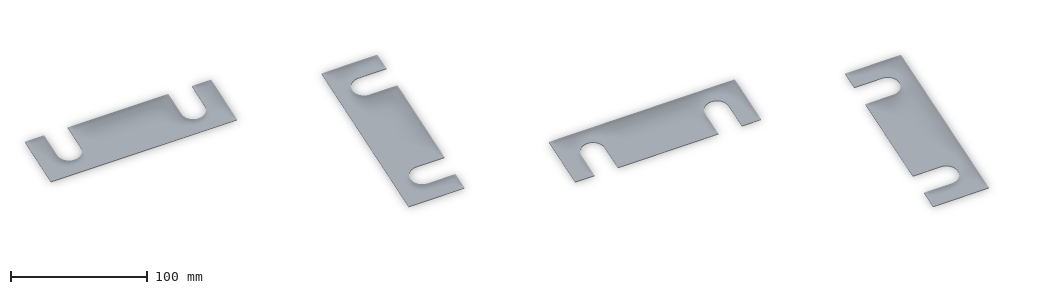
import cadquery as cq

length = 150.0
width = 45.0
thickness = 1.0

slot_width = 19.0
slot_spacing = 100.0
slot_center_depth = width / 2


def open_slot(center_y):
    """Cutter for a slot that opens on the -X edge and ends in a half circle."""
    radius = slot_width / 2
    open_x = -width / 2
    center_x = open_x + slot_center_depth
    return (
        cq.Workplane("XY")
        .moveTo(open_x, center_y - radius)
        .lineTo(center_x, center_y - radius)
        .threePointArc((center_x + radius, center_y), (center_x, center_y + radius))
        .lineTo(open_x, center_y + radius)
        .close()
        .extrude(thickness)
    )


plate = cq.Workplane("XY").box(width, length, thickness, centered=(True, True, False))
for side in (-1, 1):
    plate = plate.cut(open_slot(side * slot_spacing / 2))

result = plate